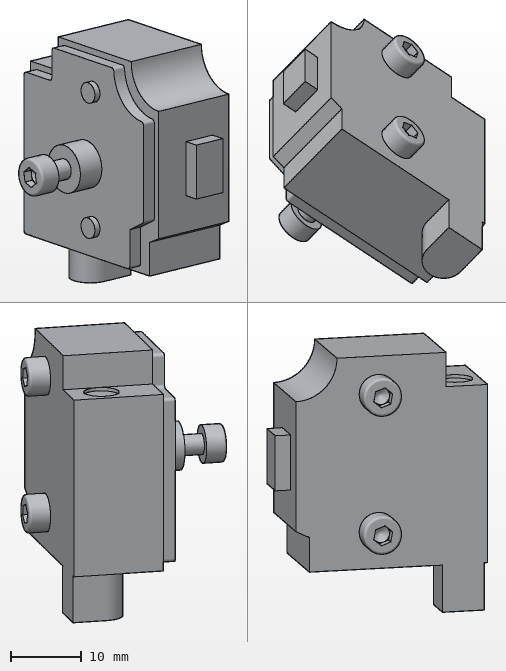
import cadquery as cq
import math


width = 27.95
height = 30.75
depth = 13.05
step_width = 6.05
step_height = 25.8
corner_radius = 5.98
notch_width = 1.95
notch_low = 5.0
notch_high = 5.98

stub_length = 2.25
stub_size_y = 4.93
stub_size_z = 7.97
stub_back_gap = 3.05
stub_bottom = 11.35

tongue_length = 6.85
tongue_width = 6.1
tongue_x = 3.55
tongue_nose_gap = 4.93
recess_diameter = 5.0
recess_depth = 0.5

cover_margin = 0.95
cover_thickness = 2.0
cover_corner_radius = 6.5
cover_round = 0.5
cover_notch_x = 24.0
cover_notch_low = 6.8
cover_notch_high = 8.5
boss_radius = 3.5
boss_height = 4.0

head_radius = 2.75
head_height = 3.0
head_round = 0.38
shank_radius = 1.5
shank_length = 15.98
socket_diameter = 2.9
socket_depth = 1.3
drill_slope = math.tan(math.radians(30))
socket_angle = math.radians(40)
clamp_screw_x = 15.98
clamp_screw_heights = (5.38, 25.35)
adjuster_x = 14.4
adjuster_z = 14.33
adjuster_gap = 3.35

FRONT = -1
BACK = 1
front_face = -(cover_thickness + boss_height + adjuster_gap)

screw_places = [((adjuster_x, front_face, adjuster_z), FRONT)]
for screw_z in clamp_screw_heights:
    screw_places.append(((clamp_screw_x, depth, screw_z), BACK))


def box(x, y, z, size_x, size_y, size_z):
    """A box from its left, front, bottom corner."""
    return cq.Workplane("XY").box(size_x, size_y, size_z, centered=False).translate((x, y, z))


def screw_plane(seat, side):
    """Plane under a screw head, its normal pointing out through the head."""
    x_direction = (math.cos(socket_angle), 0, math.sin(socket_angle))
    return cq.Workplane(cq.Plane(origin=seat, xDir=x_direction, normal=(0, side, 0)))


def make_shank(seat, side):
    return screw_plane(seat, side).circle(shank_radius).extrude(-shank_length)


def make_socket(seat, side):
    """Hexagonal socket ending in a drill point as wide as its flats."""
    head_top = screw_plane(seat, side).workplane(offset=head_height)
    hexagon = head_top.polygon(6, socket_diameter).extrude(-socket_depth)
    outward = cq.Vector(0, side, 0)
    point_base = cq.Vector(*seat) + outward * (head_height - socket_depth)
    drill_radius = socket_diameter / 2 * math.cos(math.pi / 6)
    drill_point = cq.Solid.makeCone(
        drill_radius, 0, drill_radius * drill_slope, pnt=point_base, dir=-outward
    )
    return hexagon.union(cq.Workplane(drill_point))


def make_screw(seat, side):
    head = screw_plane(seat, side).circle(head_radius).extrude(head_height)
    outer_rim = head.faces(">Y" if side == BACK else "<Y").edges()
    head = outer_rim.fillet(head_round)
    return head.union(make_shank(seat, side)).cut(make_socket(seat, side))


def cut_screw_holes(body):
    for seat, side in screw_places:
        body = body.cut(make_shank(seat, side))
    return body


def concave_middle(right, top, radius):
    """Middle of a quarter-round cut centred on an upper right corner."""
    inset = radius * math.sqrt(0.5)
    return (right - inset, top - inset)


def make_housing():
    block = (
        cq.Workplane("XZ")
        .moveTo(0, 0)
        .lineTo(width - notch_width, 0)
        .lineTo(width - notch_width, notch_low)
        .lineTo(width, notch_high)
        .lineTo(width, height - corner_radius)
        .threePointArc(concave_middle(width, height, corner_radius), (width - corner_radius, height))
        .lineTo(step_width, height)
        .lineTo(step_width, step_height)
        .lineTo(0, step_height)
        .close()
        .extrude(-depth)
    )
    stub_front = depth - stub_back_gap - stub_size_y
    stub = box(width, stub_front, stub_bottom, stub_length, stub_size_y, stub_size_z)

    nose_y = depth - tongue_nose_gap
    tongue = box(
        tongue_x - tongue_width / 2, nose_y, -tongue_length,
        tongue_width, tongue_nose_gap, tongue_length,
    )
    nose = cq.Workplane("XY").center(tongue_x, nose_y).circle(tongue_width / 2).extrude(-tongue_length)

    recess = (
        cq.Workplane("XY", origin=(tongue_x, nose_y, step_height))
        .circle(recess_diameter / 2)
        .extrude(-recess_depth)
    )
    return cut_screw_holes(block.union(stub).union(tongue.union(nose)).cut(recess))


def make_cover():
    right = width - cover_margin
    top = height - cover_margin
    left = cover_margin
    step_x = step_width + cover_margin
    step_z = step_height - cover_margin
    plate = (
        cq.Workplane("XZ")
        .moveTo(left, cover_margin)
        .lineTo(cover_notch_x, cover_margin)
        .lineTo(cover_notch_x, cover_notch_low)
        .lineTo(right, cover_notch_high)
        .lineTo(right, top - cover_corner_radius)
        .threePointArc(concave_middle(right, top, cover_corner_radius), (right - cover_corner_radius, top))
        .lineTo(step_x, top)
        .lineTo(step_x, step_z)
        .lineTo(left, step_z)
        .close()
        .extrude(cover_thickness)
    )
    notch_corner = cq.Vector(cover_notch_x, -cover_thickness / 2, cover_notch_low)
    sharp_edge = cq.selectors.NearestToPointSelector(notch_corner.toTuple())
    rounded_edges = cq.selectors.StringSyntaxSelector("|Y") - sharp_edge
    plate = plate.edges(rounded_edges).fillet(cover_round)
    boss = (
        cq.Workplane("XZ", origin=(adjuster_x, -cover_thickness, adjuster_z))
        .circle(boss_radius)
        .extrude(boss_height)
    )
    return cut_screw_holes(plate.union(boss))


housing = make_housing()
cover = make_cover()
screws = [make_screw(seat, side).val() for seat, side in screw_places]

result = cq.Compound.makeCompound([housing.val(), cover.val(), *screws])